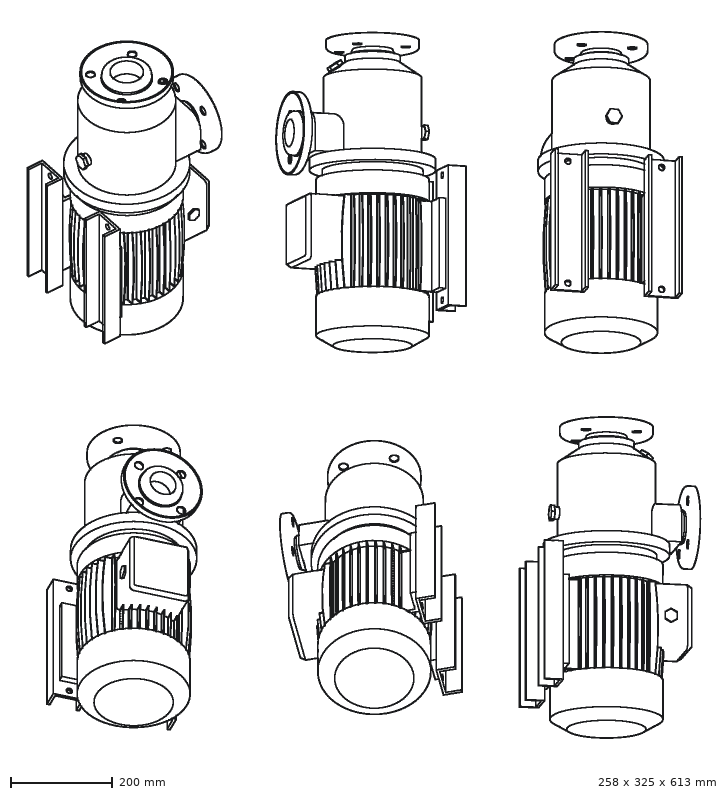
import cadquery as cq
import math


MOTOR_RADIUS = 112.0
CORE_RADIUS = 97.5
NECK_RADIUS = 100.0
FLANGE_RADIUS = 125.0
FAN_COVER_FACE_RADIUS = 78.5
FAN_COVER_CONE_Z = 20.0
FINS_BOTTOM_Z = 99.5
FINS_TOP_Z = 287.5
NECK_BOTTOM_Z = 333.5
FLANGE_BOTTOM_Z = 352.0
JOINT_Z = 374.5

FIN_PITCH_ANGLE = 9.0
FINS_PER_SIDE = 10
FIN_PITCH_RADIUS = 108.0
FIN_THICKNESS = 1.3
FIN_END_RADIUS = 110.0
FIN_MIDDLE_RADIUS = 114.5

BOX_WIDTH = 124.0
BOX_INNER_Y = 75.0
BOX_OUTER_Y = 161.5
BOX_BOTTOM_Z = 156.0
BOX_TOP_Z = 288.0
BOX_CORNER_RADIUS = 10.0
BOX_BEVEL_DEPTH = 10.0
BOX_BEVEL_INSET = 6.0
CABLE_PLUG_FLATS = 24.0
CABLE_PLUG_Y = 118.0
CABLE_PLUG_HEIGHT = 4.0

FOOT_INNER_X = 65.0
FOOT_OUTER_X = 116.0
FOOT_PLATE_THICKNESS = 14.0
FOOT_WEB_THICKNESS = 7.5
FOOT_WEB_TOP_Y = -60.0
FOOT_END_GAP = 3.5
RAIL_CENTER_X = 95.25
RAIL_WIDTH = 67.5
RAIL_HEIGHT = 38.0
RAIL_WALL = 6.0
RAIL_BOTTOM_Z = 67.5
RAIL_TOP_Z = 348.5
RAIL_HOLE_DIAMETER = 12.0
RAIL_HOLE_END_DISTANCE = 15.0
RAIL_SEAT_Y = -MOTOR_RADIUS

CASING_RADIUS = 97.25
CASING_TOP_Z = 538.5
COLLAR_RADIUS = 55.0
COLLAR_BOTTOM_Z = 568.0
COLLAR_TOP_Z = 581.5

PORT_FLANGE_HEIGHT = 18.5
PORT_FLANGE_WALL = 3.0
PORT_FLANGE_OUTER_FILLET = 6.0
PORT_HOLE_DIAMETER = 18.0
PORT_BORE_DEPTH = 34.0
STUB_FILLET = 7.5
STUB_BASE_HEIGHT = 3.5
STUB_BASE_FLARE = 1.5

INLET_FACE_Z = 613.0
INLET_FLANGE_RADIUS = 92.5
INLET_STUB_RADIUS = 49.5
INLET_BORE_RADIUS = 33.0
INLET_BOLT_CIRCLE = 145.0
INLET_NECK_RADIUS = 40.0
INLET_NECK_BULGE_RADIUS = 43.5
INLET_NECK_BULGE_Z = 586.0
INLET_NECK_FOOT_RADIUS = 42.0

OUTLET_FACE_Y = 175.0
OUTLET_STUB_PROJECTION = 1.5
OUTLET_Z = 416.8
OUTLET_FLANGE_RADIUS = 82.5
OUTLET_STUB_RADIUS = 44.0
OUTLET_BORE_RADIUS = 27.0
OUTLET_BOLT_CIRCLE = 125.0
OUTLET_NECK_RADIUS = 35.0
OUTLET_NECK_TIP_RADIUS = 32.0
OUTLET_NECK_SHOULDER_Y = 150.5
OUTLET_BLOCK_WIDTH = 110.0
OUTLET_BLOCK_TOP_Z = 455.7
OUTLET_BLOCK_CORNER_RADIUS = 30.0
OUTLET_BLOCK_END_Y = 141.0

PLUG_FLATS = 28.0
PLUG_HEAD_HEIGHT = 7.5
PLUG_STEM_RADIUS = 12.5
PLUG_STEM_EMBED = 10.0
DRAIN_PLUG_Z = 434.5
DRAIN_PLUG_STEM_LENGTH = 9.0
VENT_PLUG_STEM_LENGTH = 1.5


def revolve_about_z(outline):
    return outline.close().revolve(360, (0, 0, 0), (0, 1, 0))


def hexagon_prism(plane, flats, height):
    corner_diameter = flats / math.cos(math.radians(30))
    return cq.Workplane(plane).polygon(6, corner_diameter).extrude(height)


def block(x_range, y_range, z_range):
    size = [high - low for low, high in (x_range, y_range, z_range)]
    corner = (x_range[0], y_range[0], z_range[0])
    return cq.Workplane("XY").box(*size, centered=False).translate(corner)


def motor_body():
    outline = cq.Workplane("XZ").polyline([
        (0, 0),
        (FAN_COVER_FACE_RADIUS, 0),
        (MOTOR_RADIUS, FAN_COVER_CONE_Z),
        (MOTOR_RADIUS, FINS_BOTTOM_Z),
        (CORE_RADIUS, FINS_BOTTOM_Z),
        (CORE_RADIUS, FINS_TOP_Z),
        (MOTOR_RADIUS, FINS_TOP_Z),
        (MOTOR_RADIUS, NECK_BOTTOM_Z),
        (NECK_RADIUS, NECK_BOTTOM_Z),
        (NECK_RADIUS, FLANGE_BOTTOM_Z),
        (FLANGE_RADIUS, FLANGE_BOTTOM_Z),
        (FLANGE_RADIUS, JOINT_Z),
        (0, JOINT_Z),
    ])
    return revolve_about_z(outline)


def cooling_fins():
    """Straight plates through the core along X and Y, trimmed to a barrel-shaped envelope."""
    fin_height = FINS_TOP_Z - FINS_BOTTOM_Z
    middle_z = (FINS_TOP_Z + FINS_BOTTOM_Z) / 2
    angles = [(i - (FINS_PER_SIDE - 1) / 2) * FIN_PITCH_ANGLE for i in range(FINS_PER_SIDE)]
    offsets = [FIN_PITCH_RADIUS * math.sin(math.radians(angle)) for angle in angles]
    envelope = revolve_about_z(
        cq.Workplane("XZ")
        .moveTo(0, FINS_BOTTOM_Z)
        .lineTo(FIN_END_RADIUS, FINS_BOTTOM_Z)
        .threePointArc((FIN_MIDDLE_RADIUS, middle_z), (FIN_END_RADIUS, FINS_TOP_Z))
        .lineTo(0, FINS_TOP_Z)
    )
    plates_along_x = (
        cq.Workplane("XY", origin=(0, 0, FINS_BOTTOM_Z))
        .pushPoints([(0, y) for y in offsets])
        .rect(2 * FLANGE_RADIUS, FIN_THICKNESS)
        .extrude(fin_height)
    )
    plates = plates_along_x.union(plates_along_x.rotate((0, 0, 0), (0, 0, 1), 90))
    return plates.intersect(envelope)


def terminal_box():
    half_width = BOX_WIDTH / 2
    box = block((-half_width, half_width), (BOX_INNER_Y, BOX_OUTER_Y), (BOX_BOTTOM_Z, BOX_TOP_Z))
    box = box.edges("|Y").fillet(BOX_CORNER_RADIUS)
    box = box.faces(">Y").chamfer(BOX_BEVEL_INSET, BOX_BEVEL_DEPTH)
    plug_center = (half_width, CABLE_PLUG_Y, (BOX_BOTTOM_Z + BOX_TOP_Z) / 2)
    plug_plane = cq.Plane(origin=plug_center, xDir=(0, 0, 1), normal=(1, 0, 0))
    return box.union(hexagon_prism(plug_plane, CABLE_PLUG_FLATS, CABLE_PLUG_HEIGHT))


def foot():
    """L-shaped foot on the +X side: a plate on the rail and a web up to the motor core."""
    z_range = (FINS_BOTTOM_Z + FOOT_END_GAP, FINS_TOP_Z - FOOT_END_GAP)
    plate_y = (RAIL_SEAT_Y, RAIL_SEAT_Y + FOOT_PLATE_THICKNESS)
    plate = block((FOOT_INNER_X, FOOT_OUTER_X), plate_y, z_range)
    web_x = (FOOT_INNER_X, FOOT_INNER_X + FOOT_WEB_THICKNESS)
    return plate.union(block(web_x, (RAIL_SEAT_Y, FOOT_WEB_TOP_Y), z_range))


def rail():
    """Channel under the +X foot, open toward -Y, with a hole near each end of its web."""
    z_range = (RAIL_BOTTOM_Z, RAIL_TOP_Z)
    inner_x = RAIL_CENTER_X - RAIL_WIDTH / 2
    outer_x = RAIL_CENTER_X + RAIL_WIDTH / 2
    open_y = RAIL_SEAT_Y - RAIL_HEIGHT
    channel = block((inner_x, outer_x), (open_y, RAIL_SEAT_Y), z_range).cut(
        block((inner_x + RAIL_WALL, outer_x - RAIL_WALL), (open_y, RAIL_SEAT_Y - RAIL_WALL), z_range)
    )
    hole_points = [
        (RAIL_CENTER_X, RAIL_BOTTOM_Z + RAIL_HOLE_END_DISTANCE),
        (RAIL_CENTER_X, RAIL_TOP_Z - RAIL_HOLE_END_DISTANCE),
    ]
    holes = (
        cq.Workplane("XZ", origin=(0, RAIL_SEAT_Y, 0))
        .pushPoints(hole_points)
        .circle(RAIL_HOLE_DIAMETER / 2)
        .extrude(RAIL_WALL)
    )
    return channel.cut(holes)


def make_motor():
    support = foot().union(rail())
    return (
        motor_body()
        .union(cooling_fins())
        .union(terminal_box())
        .union(support)
        .union(support.mirror("YZ"))
    )


def pump_casing():
    outline = cq.Workplane("XZ").polyline([
        (0, JOINT_Z),
        (CASING_RADIUS, JOINT_Z),
        (CASING_RADIUS, CASING_TOP_Z),
        (COLLAR_RADIUS, COLLAR_BOTTOM_Z),
        (COLLAR_RADIUS, COLLAR_TOP_Z),
        (INLET_NECK_FOOT_RADIUS, COLLAR_TOP_Z),
        (INLET_NECK_BULGE_RADIUS, INLET_NECK_BULGE_Z),
        (INLET_NECK_RADIUS, INLET_FACE_Z - PORT_FLANGE_HEIGHT),
        (0, INLET_FACE_Z - PORT_FLANGE_HEIGHT),
    ])
    return revolve_about_z(outline)


def port_flange(radius, stub_radius, bolt_circle, stub_projection):
    """Dished flange facing +Z with its back at z = 0, a round-edged stub, and four bolt holes."""
    inner_fillet = PORT_FLANGE_OUTER_FILLET - PORT_FLANGE_WALL
    shell = cq.Workplane("XY").circle(radius).extrude(PORT_FLANGE_HEIGHT)
    shell = shell.faces("<Z").edges().fillet(PORT_FLANGE_OUTER_FILLET)
    dish = (
        cq.Workplane("XY")
        .workplane(offset=PORT_FLANGE_WALL)
        .circle(radius - PORT_FLANGE_WALL)
        .extrude(PORT_FLANGE_HEIGHT)
    )
    dish = dish.faces("<Z").edges().fillet(inner_fillet)
    holes = (
        cq.Workplane("XY")
        .polarArray(bolt_circle / 2, 45, 360, 4)
        .circle(PORT_HOLE_DIAMETER / 2)
        .extrude(PORT_FLANGE_HEIGHT)
    )
    stub = cq.Workplane("XY").circle(stub_radius).extrude(PORT_FLANGE_HEIGHT + stub_projection)
    stub = stub.faces(">Z").edges().fillet(STUB_FILLET)
    stub_base = revolve_about_z(
        cq.Workplane("XZ").polyline([
            (0, PORT_FLANGE_WALL),
            (stub_radius + STUB_BASE_FLARE, PORT_FLANGE_WALL),
            (stub_radius, PORT_FLANGE_WALL + STUB_BASE_HEIGHT),
            (0, PORT_FLANGE_WALL + STUB_BASE_HEIGHT),
        ])
    )
    return shell.cut(dish).cut(holes).union(stub).union(stub_base)


def inlet_flange():
    flange = port_flange(INLET_FLANGE_RADIUS, INLET_STUB_RADIUS, INLET_BOLT_CIRCLE, 0)
    return flange.translate((0, 0, INLET_FACE_Z - PORT_FLANGE_HEIGHT))


def outlet_flange(back_y):
    flange = port_flange(
        OUTLET_FLANGE_RADIUS, OUTLET_STUB_RADIUS, OUTLET_BOLT_CIRCLE, OUTLET_STUB_PROJECTION
    )
    return flange.rotate((0, 0, 0), (1, 0, 0), -90).translate((0, back_y, OUTLET_Z))


def outlet_block():
    half_width = OUTLET_BLOCK_WIDTH / 2
    block_z = (JOINT_Z, OUTLET_BLOCK_TOP_Z)
    body = block((-half_width, half_width), (0, OUTLET_BLOCK_END_Y), block_z)
    return body.edges("|Y and >Z").fillet(OUTLET_BLOCK_CORNER_RADIUS)


def outlet_neck(back_y):
    return (
        cq.Workplane("XY")
        .polyline([
            (0, OUTLET_BLOCK_END_Y),
            (OUTLET_NECK_RADIUS, OUTLET_BLOCK_END_Y),
            (OUTLET_NECK_RADIUS, OUTLET_NECK_SHOULDER_Y),
            (OUTLET_NECK_TIP_RADIUS, back_y),
            (0, back_y),
        ])
        .close()
        .revolve(360, (0, 0, 0), (0, 1, 0))
        .translate((0, 0, OUTLET_Z))
    )


def outlet_port():
    back_y = OUTLET_FACE_Y - OUTLET_STUB_PROJECTION - PORT_FLANGE_HEIGHT
    return outlet_block().union(outlet_neck(back_y)).union(outlet_flange(back_y))


def port_bore(face_plane, radius):
    return cq.Workplane(face_plane).circle(radius).extrude(-PORT_BORE_DEPTH)


def hexagon_plug(seat, direction, stem_length):
    """Plug standing on the seat point, with two corners of its head along X."""
    seat_plane = cq.Plane(origin=seat, xDir=(1, 0, 0), normal=direction)
    head_center = seat_plane.toWorldCoords((0, 0, stem_length))
    head_plane = cq.Plane(origin=head_center, xDir=(1, 0, 0), normal=direction)
    stem = (
        cq.Workplane(seat_plane)
        .workplane(offset=-PLUG_STEM_EMBED)
        .circle(PLUG_STEM_RADIUS)
        .extrude(PLUG_STEM_EMBED + stem_length)
    )
    return stem.union(hexagon_prism(head_plane, PLUG_FLATS, PLUG_HEAD_HEIGHT))


def drain_plug():
    return hexagon_plug((0, -CASING_RADIUS, DRAIN_PLUG_Z), (0, -1, 0), DRAIN_PLUG_STEM_LENGTH)


def vent_plug():
    """Plug square to the casing cone, midway along its slope on the +Y side."""
    seat = (0, (CASING_RADIUS + COLLAR_RADIUS) / 2, (CASING_TOP_Z + COLLAR_BOTTOM_Z) / 2)
    cone_normal = (0, COLLAR_BOTTOM_Z - CASING_TOP_Z, CASING_RADIUS - COLLAR_RADIUS)
    return hexagon_plug(seat, cone_normal, VENT_PLUG_STEM_LENGTH)


def make_pump():
    inlet_plane = cq.Plane(origin=(0, 0, INLET_FACE_Z))
    outlet_plane = cq.Plane(origin=(0, OUTLET_FACE_Y, OUTLET_Z), xDir=(1, 0, 0), normal=(0, 1, 0))
    return (
        pump_casing()
        .union(inlet_flange())
        .union(outlet_port())
        .union(drain_plug())
        .union(vent_plug())
        .cut(port_bore(inlet_plane, INLET_BORE_RADIUS))
        .cut(port_bore(outlet_plane, OUTLET_BORE_RADIUS))
    )


motor = make_motor()
pump = make_pump()
result = cq.Compound.makeCompound([motor.val(), pump.val()])